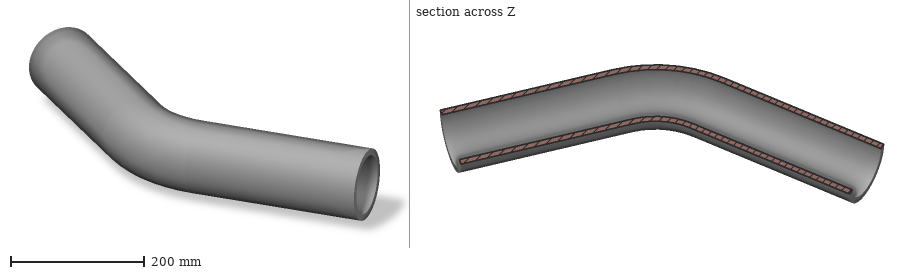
import cadquery as cq
import math

overall_length = 619.5
outer_diameter = 110.0
inner_diameter = 90.0
bend_angle = 45.0
bend_radius = 1.5 * outer_diameter

sin_bend = math.sin(math.radians(bend_angle))
cos_bend = math.cos(math.radians(bend_angle))
bend_run = bend_radius * sin_bend
bend_rise = bend_radius * (1 - cos_bend)
end_face_overhang = outer_diameter / 2 * sin_bend
leg_length = (overall_length - bend_run - end_face_overhang) / (1 + cos_bend)

bend_start = (leg_length, 0)
bend_end = (leg_length + bend_run, bend_rise)
pipe_end = (
    bend_end[0] + leg_length * cos_bend,
    bend_end[1] + leg_length * sin_bend,
)
centreline = (
    cq.Workplane("XY")
    .lineTo(*bend_start)
    .tangentArcPoint(bend_end, relative=False)
    .lineTo(*pipe_end)
)

result = (
    cq.Workplane("YZ")
    .circle(outer_diameter / 2)
    .circle(inner_diameter / 2)
    .sweep(centreline)
)